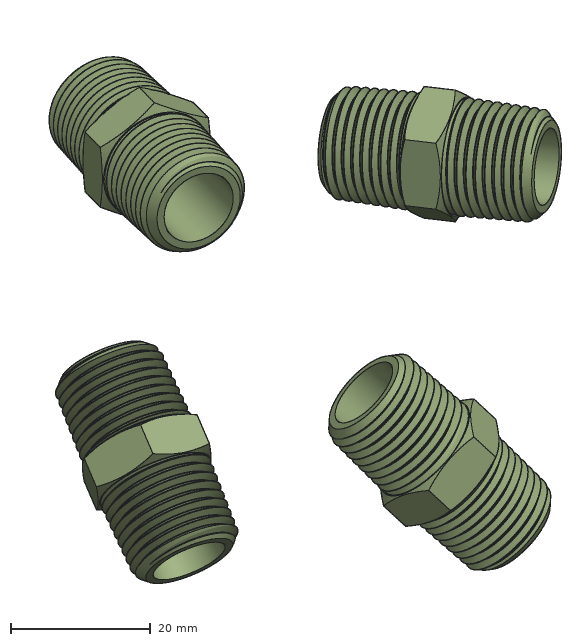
import cadquery as cq
import math

length = 32.25
bore_diameter = 11.13
end_face_radius = 6.7

hex_across_flats = 17.45
hex_width = 6.2
hex_face_diameter = 17.13
hex_chamfer_depth = 0.75
hex_corner_radius = hex_across_flats / math.sqrt(3)
hex_start = (length - hex_width) / 2

eight_turn_length = 11.25
pitch = eight_turn_length / 8
thread_depth = 1.05
crest_width = 0.1
root_width = 0.1
radius_taper = 1 / 32
crest_radius_at_hex = 8.55
last_crest_gap = 1.23
turns = 11
turns_outside = 9
tube_inner_radius = 4.85

neck_length = 0.97
neck_start_radius = 7.35
neck_radius = 8.4


def revolve_about_x(points):
    return cq.Workplane("XY").polyline(points).close().revolve(360, (0, 0, 0), (1, 0, 0))


def make_hexagon():
    """Hexagonal prism whose corners are turned off by a cone at each end."""
    prism = (
        cq.Workplane("YZ", origin=(hex_start, 0, 0))
        .polygon(6, 2 * hex_corner_radius)
        .extrude(hex_width)
        .rotate((0, 0, 0), (1, 0, 0), 90)
    )
    hex_end = hex_start + hex_width
    face_radius = hex_face_diameter / 2
    envelope = revolve_about_x([
        (hex_start, 0),
        (hex_start, face_radius),
        (hex_start + hex_chamfer_depth, hex_corner_radius),
        (hex_end - hex_chamfer_depth, hex_corner_radius),
        (hex_end, face_radius),
        (hex_end, 0),
    ])
    return prism.intersect(envelope)


def thread_helix(offset, radius):
    """One turn of a tapered helix along Z; the offset runs along the axis and widens the radius."""
    taper_angle = math.atan(radius_taper)
    slant_pitch = pitch / math.cos(taper_angle)
    return cq.Wire.makeHelix(
        slant_pitch,
        slant_pitch,
        radius + radius_taper * offset,
        cq.Vector(0, 0, offset),
        angle=math.degrees(taper_angle),
    )


def ruled_strip(first_helix, second_helix):
    return cq.Face.makeRuledSurface(first_helix.Edges()[0], second_helix.Edges()[0])


def make_thread_tube():
    """Tube with the complete thread outside, closed by a helical face at each end."""
    start = hex_start - last_crest_gap - turns_outside * pitch
    crest_radius = crest_radius_at_hex - radius_taper * (hex_start - start)
    root_radius = crest_radius - thread_depth
    section = [
        (-pitch / 2, root_radius),
        (-(pitch - root_width) / 2, root_radius),
        (-crest_width / 2, crest_radius),
        (crest_width / 2, crest_radius),
        ((pitch - root_width) / 2, root_radius),
        (pitch / 2, root_radius),
    ]
    inner_section = [(-pitch / 2, tube_inner_radius), (pitch / 2, tube_inner_radius)]
    faces = []
    for turn in range(turns):
        advance = turn * pitch
        outer = [thread_helix(offset + advance, radius) for offset, radius in section]
        inner = [thread_helix(offset + advance, radius) for offset, radius in inner_section]
        for first, second in zip(outer, outer[1:]):
            faces.append(ruled_strip(first, second))
        faces.append(ruled_strip(inner[0], inner[1]))
        loop = outer + inner[::-1]
        if turn == 0:
            faces.append(ruled_strip(outer[0], inner[0]))
            faces.append(section_face(loop, 0))
        if turn == turns - 1:
            faces.append(ruled_strip(outer[-1], inner[-1]))
            faces.append(section_face(loop, 1))
    tube = cq.Solid.makeSolid(cq.Shell.makeShell(faces)).fix()
    return cq.Workplane(tube).rotate((0, 0, 0), (0, 1, 0), 90).translate((start, 0, 0))


def section_face(helices, position):
    """Flat face across the thread section at the start (0) or end (1) of the helices."""
    points = [helix.positionAt(position) for helix in helices]
    return cq.Face.makeFromWires(cq.Wire.makePolygon(points, close=True))


def make_threaded_end():
    """First end: threaded tube trimmed by the bore, the flat end face and its 45 degree chamfer."""
    inner_end = length / 2
    outer_radius = hex_across_flats / 2
    envelope = revolve_about_x([
        (0, bore_diameter / 2),
        (0, end_face_radius),
        (outer_radius - end_face_radius, outer_radius),
        (inner_end, outer_radius),
        (inner_end, bore_diameter / 2),
    ])
    return make_thread_tube().intersect(envelope)


def make_neck():
    """Cone that runs from the thread root up to the first hexagon face."""
    neck_start = hex_start - neck_length
    return revolve_about_x([
        (neck_start, 0),
        (neck_start, neck_start_radius),
        (hex_start, neck_radius),
        (hex_start, 0),
    ])


bore = cq.Workplane("YZ").circle(bore_diameter / 2).extrude(length)
first_end = make_threaded_end().union(make_neck().cut(bore))
second_end = first_end.rotate((length / 2, 0, 0), (length / 2, 0, 1), 180)

result = make_hexagon().cut(bore).union(first_end).union(second_end)